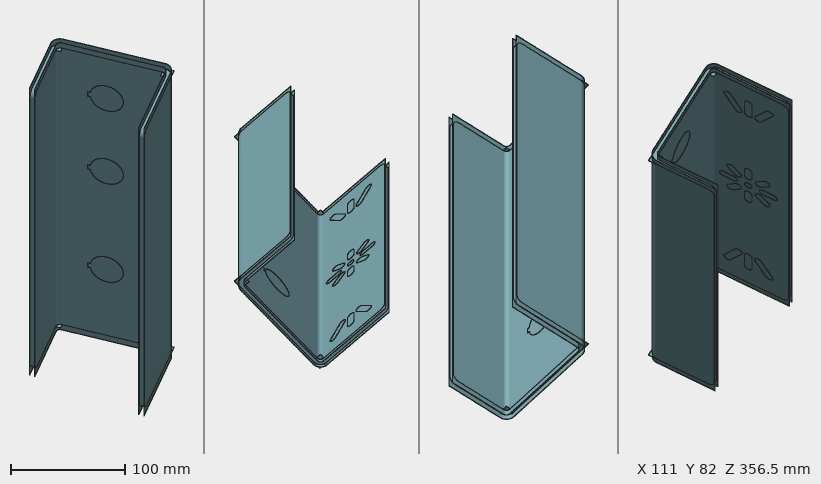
import cadquery as cq
import math

width = 111.0
height = 356.5
right_depth = 82
left_depth = 66.7

wall = 5.0
skin = 0.18
bend_radius = 8.5

core_end_gap = 6.5
core_free_gap = 1.0
core_corner_radius = 6.5
core_height = height - 2 * core_end_gap

plate_size = 9.3

opening_radius = 15.5
opening_x = -5.0
opening_heights = (-90.0, 32, 122.5)
tab_reach = 2.0
tab_height = 5.5

slot_width = 7.5
slot_center_y = -right_depth / 2
star_slot_count = 8
star_inner_radius = 11.0
star_outer_radius = 29.0
fan_center_z = 134.8
fan_straight_length = 26.5
fan_slant_length = 29.5
fan_slant_angle = 30
fan_slot_spacing = 15.5


def u_profile(inset):
    """Closed U outline whose outer and inner faces are both moved into the wall by `inset`."""
    outer_x = width / 2 - inset
    inner_x = width / 2 - wall + inset
    back_y = -inset
    front_y = -wall + inset
    outer_r = bend_radius - inset
    inner_r = bend_radius - wall + inset
    bend_x = width / 2 - bend_radius
    bend_y = -bend_radius
    diagonal = math.sqrt(0.5)

    def arc_middle(side, radius):
        return (side * (bend_x + radius * diagonal), bend_y + radius * diagonal)

    return (
        cq.Workplane("XY")
        .moveTo(-outer_x, -left_depth)
        .lineTo(-outer_x, bend_y)
        .threePointArc(arc_middle(-1, outer_r), (-bend_x, back_y))
        .lineTo(bend_x, back_y)
        .threePointArc(arc_middle(1, outer_r), (outer_x, bend_y))
        .lineTo(outer_x, -right_depth)
        .lineTo(inner_x, -right_depth)
        .lineTo(inner_x, bend_y)
        .threePointArc(arc_middle(1, inner_r), (bend_x, front_y))
        .lineTo(-bend_x, front_y)
        .threePointArc(arc_middle(-1, inner_r), (-inner_x, bend_y))
        .lineTo(-inner_x, -left_depth)
        .close()
    )


def side_outline(depth):
    """Block over the right half of the width, with the rounded free corners of the core."""
    length = depth - core_free_gap
    return (
        cq.Workplane("XY")
        .box(width / 2, length, core_height, centered=(False, False, True))
        .translate((0, -length, 0))
        .edges("|X and <Y")
        .fillet(core_corner_radius)
    )


def make_core():
    band = u_profile(skin).extrude(core_height / 2, both=True)
    right_half = side_outline(right_depth)
    left_half = side_outline(left_depth).mirror("YZ")
    return band.intersect(right_half.union(left_half))


def make_skins():
    envelope = u_profile(0).extrude(height / 2, both=True)
    gap = u_profile(skin).extrude(height / 2, both=True)
    return envelope.cut(gap)


def corner_plates():
    plates = []
    offset_x = (width - plate_size) / 2
    offset_z = (core_height - skin) / 2
    for side in (-1, 1):
        for end in (-1, 1):
            plate = cq.Workplane("XY").box(plate_size, plate_size, skin)
            plates.append(plate.translate((side * offset_x, -plate_size / 2, end * offset_z)))
    return plates


def back_openings():
    plane = cq.Workplane("XZ", origin=(opening_x, -wall + skin, 0))
    centers = [(0, z) for z in opening_heights]
    tab_length = opening_radius + tab_reach
    tab_centers = [(-tab_length / 2, z) for z in opening_heights]
    rounds = plane.pushPoints(centers).circle(opening_radius).extrude(skin)
    tabs = plane.pushPoints(tab_centers).rect(tab_length, tab_height).extrude(skin)
    return rounds.union(tabs)


def wall_slots():
    """Star of slots round a hole at mid-height, with a fan of three slots above and below."""
    plane = cq.Workplane("YZ", origin=(width / 2 - wall, slot_center_y, 0))

    def slot_cutter(y, z, length, angle):
        return plane.center(y, z).slot2D(length, slot_width, angle).extrude(skin)

    slots = [plane.circle(slot_width / 2).extrude(skin)]
    star_middle = (star_inner_radius + star_outer_radius) / 2
    star_length = star_outer_radius - star_inner_radius
    for index in range(star_slot_count):
        angle = index * 360 / star_slot_count
        y = star_middle * math.cos(math.radians(angle))
        z = star_middle * math.sin(math.radians(angle))
        slots.append(slot_cutter(y, z, star_length, angle))
    for end in (-1, 1):
        z = end * fan_center_z
        slots.append(slot_cutter(0, z, fan_straight_length, 90))
        for side in (-1, 1):
            angle = 90 - side * end * fan_slant_angle
            slots.append(slot_cutter(side * fan_slot_spacing, z, fan_slant_length, angle))
    return slots


result = make_skins().union(make_core())
for plate in corner_plates():
    result = result.union(plate)
result = result.cut(back_openings())
for slot in wall_slots():
    result = result.cut(slot)